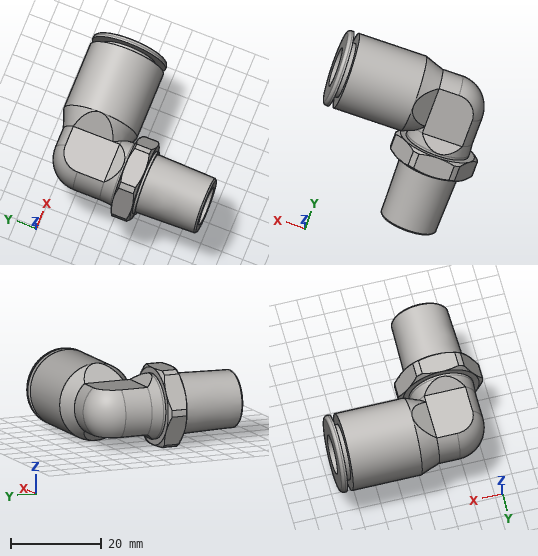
import cadquery as cq
import math


body_radius = 7.15
flat_height = 5.4
bore_radius = 4.45

socket_radius = 8.77
flare_start = math.sqrt(body_radius**2 - flat_height**2)
socket_start = 9.1
socket_end = 24.9
neck_radius = 6.35
flange_start = 26.18
arm_end = 27.42
flange_fillet = 0.75

collar_radius = 7.4
shoulder_start = 6.37
collar_start = 9.1
nut_start = 9.6
nut_end = 14.22
collar_end = 14.8
stud_end = 37.72 - socket_radius
thread_top_radius = 6.85
thread_tip_radius = 6.5
tip_chamfer = 0.38

nut_across_flats = 17.43
nut_corner_radius = 9.65
nut_chamfer_angle = 30.0


def revolve_profile(points):
    """Revolve (distance, radius) points about the X axis, closing on the axis."""
    outline = [(points[0][0], 0), *points, (points[-1][0], 0)]
    return cq.Workplane("XY").polyline(outline).close().revolve(360, (0, 0, 0), (1, 0, 0))


def to_thread_arm(shape):
    """Turn a shape built along +X so that it runs along -Y."""
    return shape.rotate((0, 0, 0), (0, 0, 1), -90)


def make_arm(taper_start, taper_end, end_radius):
    """Flatted round arm along +X whose section grows into a full circle."""
    round_arm = revolve_profile([(0, body_radius), (taper_start, body_radius), (taper_end, end_radius)])
    flats = (
        cq.Workplane("XZ")
        .moveTo(0, -flat_height)
        .lineTo(taper_start, -flat_height)
        .lineTo(taper_end, -end_radius)
        .lineTo(taper_end, end_radius)
        .lineTo(taper_start, flat_height)
        .lineTo(0, flat_height)
        .close()
        .extrude(end_radius, both=True)
    )
    return round_arm.intersect(flats)


def make_corner():
    """Ball joining the two arms, trimmed by the upper and lower flats."""
    slab = cq.Workplane("XY").box(2 * body_radius, 2 * body_radius, 2 * flat_height)
    return cq.Workplane("XY").sphere(body_radius).intersect(slab)


def make_socket():
    """Socket cylinder, release-ring neck and rounded end flange."""
    socket = revolve_profile([(socket_start, socket_radius), (socket_end, socket_radius)])
    neck = revolve_profile([(socket_end, neck_radius), (flange_start, neck_radius)])
    flange = revolve_profile([(flange_start, socket_radius), (arm_end, socket_radius)])
    flange = flange.faces(">X").edges().fillet(flange_fillet)
    return socket.union(neck).union(flange)


def make_nut():
    """Hexagon with rounded corners and both ends chamfered."""
    hexagon = (
        cq.Workplane("YZ", origin=(nut_start, 0, 0))
        .polygon(6, nut_across_flats / math.cos(math.pi / 6))
        .extrude(nut_end - nut_start)
    )
    face_radius = nut_across_flats / 2
    chamfer = (nut_corner_radius - face_radius) * math.tan(math.radians(nut_chamfer_angle))
    envelope = revolve_profile([
        (nut_start, face_radius),
        (nut_start + chamfer, nut_corner_radius),
        (nut_end - chamfer, nut_corner_radius),
        (nut_end, face_radius),
    ])
    return hexagon.intersect(envelope)


def make_stud():
    """Collar on both sides of the nut and the tapered thread body."""
    collar = revolve_profile([(collar_start, collar_radius), (collar_end, collar_radius)])
    thread = revolve_profile([
        (collar_end, thread_top_radius),
        (stud_end - tip_chamfer, thread_tip_radius),
        (stud_end, thread_tip_radius - tip_chamfer),
    ])
    return collar.union(thread)


def make_bore():
    """Passage through both arms, rounded by a ball at the corner."""
    socket_bore = revolve_profile([(0, bore_radius), (arm_end, bore_radius)])
    stud_bore = to_thread_arm(revolve_profile([(0, bore_radius), (stud_end, bore_radius)]))
    return cq.Workplane("XY").sphere(bore_radius).union(socket_bore).union(stud_bore)


socket_arm = make_arm(flare_start, socket_start, socket_radius).union(make_socket())
thread_arm = make_arm(shoulder_start, collar_start, collar_radius).union(make_stud()).union(make_nut())

result = make_corner().union(socket_arm).union(to_thread_arm(thread_arm)).cut(make_bore())